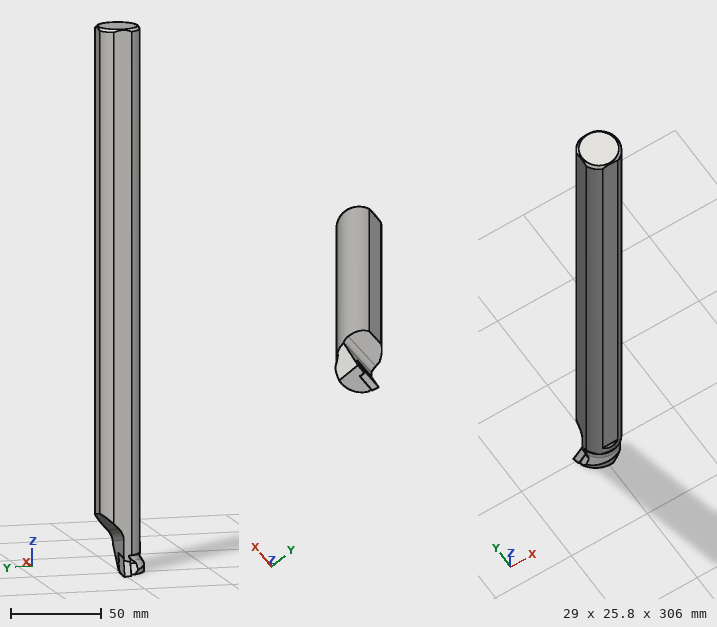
import cadquery as cq
import math

LENGTH = 306.0
SHANK_RADIUS = 12.5
ACROSS_FLATS = 23.0
FLAT_OFFSET = ACROSS_FLATS / 2
TOP_CHAMFER = 1.5
FRONT_FLAT_END = 17.0
FLAT_RUNOUT = 1.5

NECK_TOP = 11.0
NECK_RADIUS = 12.0
FLARE_TOP = 8.3
FLARE_ANGLE = 32.0
HEAD_BOTTOM = 1.0
HEAD_X = -1.5
HEAD_Y = 0.75
HEAD_RADIUS = 15.0
RELIEF_X = -15.5
CORNER_TOP = 13.8
CORNER_END_X = 0.3

FACE_Y = -0.5
GULLET_TOP = 33.0
GULLET_KNEE_Y = 2.5
GULLET_KNEE_Z = 24.2
GULLET_FACE_Z = 18.0
GULLET_TILT = 12.0
CLEARANCE = 61.2

INSERT_TIP_X = -16.8
INSERT_TIP_Y = 0.3
INSERT_EDGE = 11.5
INSERT_ANGLE = 55.0
INSERT_LEAD = 3.0
INSERT_THICKNESS = 4.0
INSERT_RELIEF = 7.0
INSERT_TILT = 5.0
NOSE_RADIUS = 0.3


def make_flat_cuts():
    """Slabs that cut the long flats on the left, back and front."""
    reach = CLEARANCE
    left = cq.Workplane("XY").box(reach, reach, LENGTH, centered=(True, True, False))
    left = left.translate((-FLAT_OFFSET - reach / 2, 0, 0))
    back = cq.Workplane("XY").box(reach, reach, LENGTH, centered=(True, True, False))
    back = back.translate((0, FLAT_OFFSET + reach / 2, 0))
    runout_y = -SHANK_RADIUS
    front = (
        cq.Workplane("YZ")
        .polyline([
            (-FLAT_OFFSET, FRONT_FLAT_END),
            (-FLAT_OFFSET, LENGTH),
            (runout_y, LENGTH),
            (runout_y, FRONT_FLAT_END - FLAT_RUNOUT),
        ])
        .close()
        .extrude(CLEARANCE / 2, both=True)
    )
    return [left, back, front]


def make_shank():
    """Round shank with a top chamfer and flats."""
    shank = cq.Workplane("XY").workplane(offset=NECK_TOP).circle(SHANK_RADIUS).extrude(LENGTH - NECK_TOP)
    shank = shank.faces(">Z").chamfer(TOP_CHAMFER)
    for cut in make_flat_cuts():
        shank = shank.cut(cut)
    return shank


def make_head():
    """Neck curving into a conical flare, trimmed by an off-centre cylinder and two planes."""
    angle = math.radians(FLARE_ANGLE)
    bend_radius = (NECK_TOP - FLARE_TOP) / math.sin(angle)
    flare_radius = NECK_RADIUS + bend_radius * (1 - math.cos(angle))
    bottom_radius = flare_radius + (FLARE_TOP - HEAD_BOTTOM) * math.tan(angle)
    flare = (
        cq.Workplane("XZ")
        .moveTo(0, NECK_TOP)
        .lineTo(NECK_RADIUS, NECK_TOP)
        .radiusArc((flare_radius, FLARE_TOP), -bend_radius)
        .lineTo(bottom_radius, HEAD_BOTTOM)
        .lineTo(0, HEAD_BOTTOM)
        .close()
        .revolve(360, (0, 0, 0), (0, 1, 0))
    )
    envelope = cq.Workplane("XY").center(HEAD_X, HEAD_Y).circle(HEAD_RADIUS).extrude(NECK_TOP)
    return flare.intersect(envelope).intersect(make_left_limit())


def make_left_limit():
    """Space right of the relief face, which rises along the insert edge to the left flat."""
    slope = math.tan(math.radians(INSERT_LEAD + INSERT_ANGLE))
    relief_top = slope * (-FLAT_OFFSET - RELIEF_X)
    return (
        cq.Workplane("XZ")
        .polyline([
            (RELIEF_X, 0),
            (-FLAT_OFFSET, relief_top),
            (-FLAT_OFFSET, NECK_TOP),
            (CLEARANCE, NECK_TOP),
            (CLEARANCE, 0),
        ])
        .close()
        .extrude(CLEARANCE, both=True)
    )


def make_gullet():
    """Sloping gullet that curves down into the flat insert seat face."""
    slope = (GULLET_TOP - GULLET_KNEE_Z) / (FLAT_OFFSET - GULLET_KNEE_Y)
    outer_y = CLEARANCE
    outer_z = GULLET_TOP + slope * (outer_y - FLAT_OFFSET)
    tool = (
        cq.Workplane("YZ")
        .moveTo(outer_y, -CLEARANCE)
        .lineTo(outer_y, outer_z)
        .lineTo(GULLET_KNEE_Y, GULLET_KNEE_Z)
        .tangentArcPoint((FACE_Y, GULLET_FACE_Z), relative=False)
        .lineTo(FACE_Y, -CLEARANCE)
        .close()
        .extrude(CLEARANCE, both=True)
    )
    pivot_z = GULLET_TOP
    return tool.rotate((0, 0, pivot_z), (0, 1, pivot_z), GULLET_TILT)


def make_heel_cut():
    """Wedge that bevels the lower right corner."""
    slope = (CORNER_TOP - HEAD_BOTTOM) / (SHANK_RADIUS - CORNER_END_X)
    end_x = CLEARANCE
    end_z = HEAD_BOTTOM + slope * (end_x - CORNER_END_X)
    return (
        cq.Workplane("XZ")
        .polyline([(CORNER_END_X, HEAD_BOTTOM), (end_x, end_z), (end_x, HEAD_BOTTOM)])
        .close()
        .extrude(CLEARANCE, both=True)
    )


def make_insert():
    """Rhombic insert tapering toward its seat, leaning back from its tip."""
    low = math.radians(INSERT_LEAD)
    high = math.radians(INSERT_LEAD + INSERT_ANGLE)
    low_end = (INSERT_EDGE * math.cos(low), INSERT_EDGE * math.sin(low))
    high_end = (INSERT_EDGE * math.cos(high), INSERT_EDGE * math.sin(high))
    far_end = (low_end[0] + high_end[0], low_end[1] + high_end[1])
    plate = (
        cq.Workplane("XZ")
        .polyline([(0, 0), low_end, far_end, high_end])
        .close()
        .extrude(INSERT_THICKNESS, taper=INSERT_RELIEF)
    )
    plate = plate.edges(cq.NearestToPointSelector((0, -INSERT_THICKNESS / 2, 0))).fillet(NOSE_RADIUS)
    plate = plate.rotate((0, 0, 0), (1, 0, 0), INSERT_TILT)
    return plate.translate((INSERT_TIP_X, INSERT_TIP_Y, 0))


insert = make_insert()
holder = make_shank().union(make_head())
holder = holder.cut(make_gullet()).cut(make_heel_cut()).cut(insert)

result = cq.Compound.makeCompound([holder.val(), insert.val()])